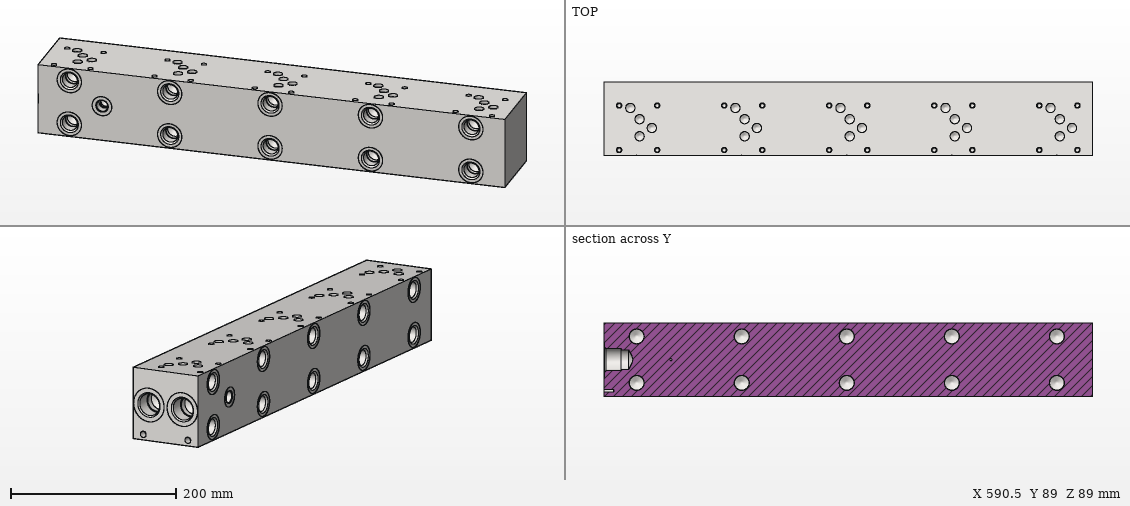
import cadquery as cq
import math

LENGTH = 590.5
SIDE = 89.0
FRONT_Y = -SIDE / 2

STATION_COUNT = 5
STATION_PITCH = 127.0

DRILL_POINT_ANGLE = 118.0
SPOTFACE_DEPTH = 0.5

FIRST_BOLT_X = 18.5
REAR_BOLT_Y = 16.0
BOLT_SPAN_X = 46.0
BOLT_SPAN_Y = 54.0
BOLT_THREAD_DIAMETER = 6.5
BOLT_DRILL_DIAMETER = 5.1
BOLT_THREAD_DEPTH = 12.0
BOLT_DEPTH = 15.0
FLOW_DIAMETER = 11.0
FLOW_DEPTH = 4.0
FLOW_OFFSETS = [(13.5, -3.0), (25.0, -16.5), (39.5, -27.0), (25.0, -37.0)]

WORK_FIRST_X = 39.5
WORK_EDGE_DISTANCE = 16.5
WORK_SPOTFACE_DIAMETER = 31.0
WORK_MOUTH_DIAMETER = 23.0
WORK_THREAD_DIAMETER = 19.0
WORK_DRILL_DIAMETER = 18.0
WORK_THREAD_DEPTH = 15.0
WORK_DEPTH = 20.5

GAUGE_X = 81.0
GAUGE_Z = SIDE / 2
GAUGE_SPOTFACE_DIAMETER = 25.0
GAUGE_MOUTH_DIAMETER = 16.0
GAUGE_THREAD_DIAMETER = 14.0
GAUGE_DRILL_DIAMETER = 11.0
GAUGE_THREAD_DEPTH = 12.0
GAUGE_DEPTH = 15.0

MAIN_Y = 23.0
MAIN_Z = SIDE / 2
MAIN_SPOTFACE_DIAMETER = 42.0
MAIN_MOUTH_DIAMETER = 31.0
MAIN_THREAD_DIAMETER = 27.0
MAIN_DRILL_DIAMETER = 25.0
MAIN_THREAD_DEPTH = 20.5
MAIN_DEPTH = 29.5
END_HOLE_Y = 31.0
END_HOLE_Z = 7.0
END_HOLE_THREAD_DIAMETER = 7.5
END_HOLE_DRILL_DIAMETER = 6.5
END_HOLE_THREAD_DEPTH = 12.0
END_HOLE_DEPTH = 15.0


def drill_point_height(diameter):
    """Height of the cone that a twist drill leaves at the bottom of its hole."""
    return diameter / 2 / math.tan(math.radians(DRILL_POINT_ANGLE / 2))


def revolved_cutter(profile):
    """Turn a half profile of (radius, height) points about the vertical axis through the origin."""
    return cq.Workplane("XZ").polyline(profile).close().revolve(360, (0, 0), (0, 1))


def drilled_hole(bore, depth):
    """Downward cutter for a plain blind hole with a drill point."""
    return revolved_cutter([
        (0, 0),
        (bore / 2, 0),
        (bore / 2, -depth),
        (0, -depth - drill_point_height(bore)),
    ])


def threaded_hole(thread, drill, thread_depth, depth):
    """Downward cutter with a thread bore, a narrower drill bore below it and a drill point."""
    return revolved_cutter([
        (0, 0),
        (thread / 2, 0),
        (thread / 2, -thread_depth),
        (drill / 2, -thread_depth),
        (drill / 2, -depth),
        (0, -depth - drill_point_height(drill)),
    ])


def threaded_port(spotface, mouth, thread, drill, thread_depth, depth):
    """Downward cutter with a shallow spotface, 45 degree mouth, thread bore, drill bore and drill point."""
    return revolved_cutter([
        (0, 0),
        (spotface / 2, 0),
        (spotface / 2, -SPOTFACE_DEPTH),
        (mouth / 2, -SPOTFACE_DEPTH),
        (thread / 2, -SPOTFACE_DEPTH - (mouth - thread) / 2),
        (thread / 2, -thread_depth),
        (drill / 2, -thread_depth),
        (drill / 2, -depth),
        (0, -depth - drill_point_height(drill)),
    ])


def into_front(cutter, x, z):
    """Turn a cutter to bore in from the front face at (x, z)."""
    return cutter.rotate((0, 0, 0), (1, 0, 0), 90).translate((x, FRONT_Y, z))


def into_end(cutter, y, z):
    """Turn a cutter to bore in from the left end face at (y, z)."""
    return cutter.rotate((0, 0, 0), (0, 1, 0), -90).translate((0, y, z))


bolt_hole = threaded_hole(BOLT_THREAD_DIAMETER, BOLT_DRILL_DIAMETER, BOLT_THREAD_DEPTH, BOLT_DEPTH)
flow_hole = drilled_hole(FLOW_DIAMETER, FLOW_DEPTH)
work_port = threaded_port(
    WORK_SPOTFACE_DIAMETER,
    WORK_MOUTH_DIAMETER,
    WORK_THREAD_DIAMETER,
    WORK_DRILL_DIAMETER,
    WORK_THREAD_DEPTH,
    WORK_DEPTH,
)
gauge_port = threaded_port(
    GAUGE_SPOTFACE_DIAMETER,
    GAUGE_MOUTH_DIAMETER,
    GAUGE_THREAD_DIAMETER,
    GAUGE_DRILL_DIAMETER,
    GAUGE_THREAD_DEPTH,
    GAUGE_DEPTH,
)
main_port = threaded_port(
    MAIN_SPOTFACE_DIAMETER,
    MAIN_MOUTH_DIAMETER,
    MAIN_THREAD_DIAMETER,
    MAIN_DRILL_DIAMETER,
    MAIN_THREAD_DEPTH,
    MAIN_DEPTH,
)
end_hole = threaded_hole(
    END_HOLE_THREAD_DIAMETER,
    END_HOLE_DRILL_DIAMETER,
    END_HOLE_THREAD_DEPTH,
    END_HOLE_DEPTH,
)

result = cq.Workplane("XY").box(LENGTH, SIDE, SIDE, centered=(False, True, False))

for station in range(STATION_COUNT):
    shift = station * STATION_PITCH
    pattern_x = FIRST_BOLT_X + shift
    for dx in (0, BOLT_SPAN_X):
        for dy in (0, -BOLT_SPAN_Y):
            result = result.cut(bolt_hole.translate((pattern_x + dx, REAR_BOLT_Y + dy, SIDE)))
    for dx, dy in FLOW_OFFSETS:
        result = result.cut(flow_hole.translate((pattern_x + dx, REAR_BOLT_Y + dy, SIDE)))
    for z in (WORK_EDGE_DISTANCE, SIDE - WORK_EDGE_DISTANCE):
        result = result.cut(into_front(work_port, WORK_FIRST_X + shift, z))

result = result.cut(into_front(gauge_port, GAUGE_X, GAUGE_Z))

for side in (-1, 1):
    result = result.cut(into_end(main_port, side * MAIN_Y, MAIN_Z))
    result = result.cut(into_end(end_hole, side * END_HOLE_Y, END_HOLE_Z))